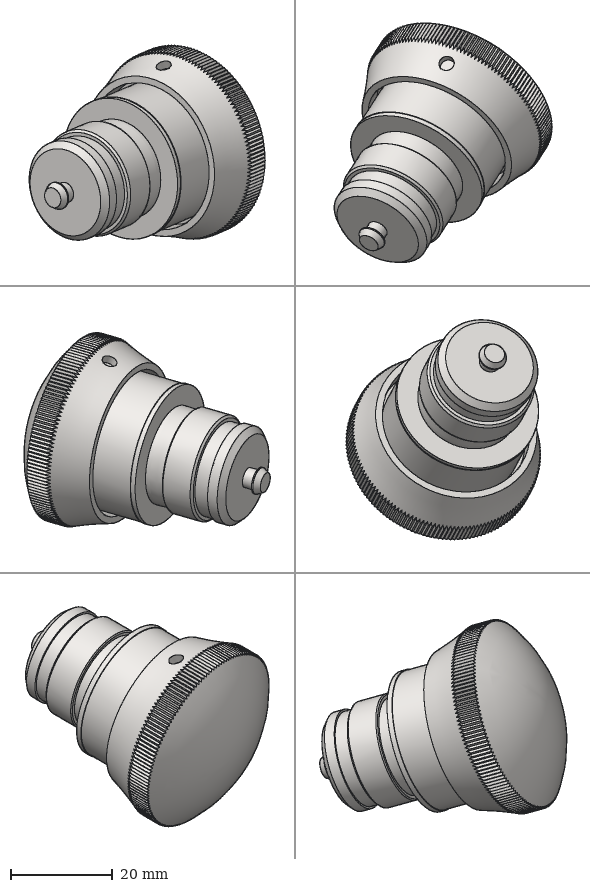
import cadquery as cq
import math


TOTAL_LENGTH = 50.05
PIN_LENGTH = 4.0
NOSE_CHAMFER_TOP = 5.25
NOSE_TOP = 7.4
COLLAR_BOTTOM = 10.45
COLLAR_TOP = 17.25
NECK_TAPER_TOP = 20.3
FLANGE_BOTTOM = 21.3
FLANGE_TOP = 22.4
HEAD_BOTTOM = 30.45
KNURL_BOTTOM = 38.8
KNURL_TOP = 42.85

PIN_DIAMETER = 4.1
PIN_FLANGE_DIAMETER = 5.5
NOSE_DIAMETER = 20.3
NOSE_END_DIAMETER = 17.8
GROOVE_DIAMETER = 19.45
COLLAR_DIAMETER = 21.8
NECK_TOP_DIAMETER = 20.3
NECK_BOTTOM_DIAMETER = 20.0
FLANGE_DIAMETER = 28.8
BODY_DIAMETER = 28.5
HEAD_RIM_DIAMETER = 32.75
HEAD_DIAMETER = 38.5
RECESS_DIAMETER = 30.0

PIN_FILLET = 0.45
PIN_BAND_BOTTOM = 1.3
PIN_BAND_TOP = 1.6
COLLAR_BOTTOM_CHAMFER = 0.45
COLLAR_TOP_CHAMFER = 0.25
FLARE_SAG = 0.15
RECESS_DEPTH = 4.0
TOOTH_COUNT = 150
TOOTH_DEPTH = 0.4
HOLE_DIAMETER = 3.0
HOLE_DEPTH = 2.0
HOLE_CENTER_Y = 34.8


def revolve_about_y(profile):
    """Turn a closed half profile (radius along X, station along Y) into a solid."""
    return profile.close().revolve(360, (0, 0, 0), (0, 1, 0))


def make_pin():
    """Pin with a filleted flange that tapers back to the pin diameter at its tip."""
    radius = PIN_DIAMETER / 2
    flange_radius = PIN_FLANGE_DIAMETER / 2
    fillet_offset = PIN_FILLET * (1 - math.sqrt(0.5))
    profile = (
        cq.Workplane("XY")
        .lineTo(radius, 0)
        .lineTo(flange_radius, PIN_BAND_BOTTOM)
        .lineTo(flange_radius, PIN_BAND_TOP)
        .lineTo(radius + PIN_FILLET, PIN_BAND_TOP)
        .threePointArc(
            (radius + fillet_offset, PIN_BAND_TOP + fillet_offset),
            (radius, PIN_BAND_TOP + PIN_FILLET),
        )
        .lineTo(radius, NOSE_CHAMFER_TOP)
        .lineTo(0, NOSE_CHAMFER_TOP)
    )
    return revolve_about_y(profile)


def make_body():
    """Stepped barrel from the chamfered nose up into the head."""
    collar_radius = COLLAR_DIAMETER / 2
    outline = [
        (0, PIN_LENGTH),
        (NOSE_END_DIAMETER / 2, PIN_LENGTH),
        (NOSE_DIAMETER / 2, NOSE_CHAMFER_TOP),
        (NOSE_DIAMETER / 2, NOSE_TOP),
        (GROOVE_DIAMETER / 2, NOSE_TOP),
        (GROOVE_DIAMETER / 2, COLLAR_BOTTOM),
        (collar_radius - COLLAR_BOTTOM_CHAMFER, COLLAR_BOTTOM),
        (collar_radius, COLLAR_BOTTOM + COLLAR_BOTTOM_CHAMFER),
        (collar_radius, COLLAR_TOP - COLLAR_TOP_CHAMFER),
        (collar_radius - COLLAR_TOP_CHAMFER, COLLAR_TOP),
        (NECK_BOTTOM_DIAMETER / 2, COLLAR_TOP),
        (NECK_TOP_DIAMETER / 2, NECK_TAPER_TOP),
        (NECK_TOP_DIAMETER / 2, FLANGE_BOTTOM),
        (FLANGE_DIAMETER / 2, FLANGE_BOTTOM),
        (FLANGE_DIAMETER / 2, FLANGE_TOP),
        (BODY_DIAMETER / 2, FLANGE_TOP),
        (BODY_DIAMETER / 2, KNURL_BOTTOM),
        (0, KNURL_BOTTOM),
    ]
    return revolve_about_y(cq.Workplane("XY").polyline(outline))


FLARE_RISE = KNURL_BOTTOM - HEAD_BOTTOM
FLARE_SPREAD = (HEAD_DIAMETER - HEAD_RIM_DIAMETER) / 2
FLARE_ANGLE = math.atan2(FLARE_SPREAD, FLARE_RISE)


def make_head_blank():
    """Domed head with a slightly hollow flare and an annular recess around the body."""
    rim_radius = HEAD_RIM_DIAMETER / 2
    head_radius = HEAD_DIAMETER / 2
    recess_top = HEAD_BOTTOM + RECESS_DEPTH
    flare_middle = (
        (rim_radius + head_radius) / 2 - FLARE_SAG * math.cos(FLARE_ANGLE),
        (HEAD_BOTTOM + KNURL_BOTTOM) / 2 + FLARE_SAG * math.sin(FLARE_ANGLE),
    )
    dome_height = TOTAL_LENGTH - KNURL_TOP
    dome_radius = (head_radius**2 + dome_height**2) / (2 * dome_height)
    dome_half_angle = math.asin(head_radius / dome_radius) / 2
    dome_middle = (
        dome_radius * math.sin(dome_half_angle),
        TOTAL_LENGTH - dome_radius * (1 - math.cos(dome_half_angle)),
    )
    profile = (
        cq.Workplane("XY")
        .moveTo(0, recess_top)
        .lineTo(RECESS_DIAMETER / 2, recess_top)
        .lineTo(RECESS_DIAMETER / 2, HEAD_BOTTOM)
        .lineTo(rim_radius, HEAD_BOTTOM)
        .threePointArc(flare_middle, (head_radius, KNURL_BOTTOM))
        .lineTo(head_radius, KNURL_TOP)
        .threePointArc(dome_middle, (0, TOTAL_LENGTH))
    )
    return revolve_about_y(profile)


def make_toothed_prism():
    """Prism along Y with a saw-tooth outline that limits the head to the knurled shape."""
    tip_radius = HEAD_DIAMETER / 2
    outline = []
    for step in range(2 * TOOTH_COUNT):
        angle = math.pi * step / TOOTH_COUNT
        radius = tip_radius if step % 2 == 0 else tip_radius - TOOTH_DEPTH
        outline.append((radius * math.cos(angle), radius * math.sin(angle)))
    return cq.Workplane("XZ").polyline(outline).close().extrude(-TOTAL_LENGTH)


def make_hole():
    """Blind hole in the +Z side of the head, square to the flare."""
    surface_z = HEAD_RIM_DIAMETER / 2 + (HOLE_CENTER_Y - HEAD_BOTTOM) * math.tan(FLARE_ANGLE)
    inward = cq.Vector(0, math.sin(FLARE_ANGLE), -math.cos(FLARE_ANGLE))
    surface_point = cq.Vector(0, HOLE_CENTER_Y, surface_z)
    start = surface_point - inward * HOLE_DEPTH
    return cq.Workplane(
        cq.Solid.makeCylinder(HOLE_DIAMETER / 2, 2 * HOLE_DEPTH, start, inward)
    )


head = make_head_blank().intersect(make_toothed_prism()).cut(make_hole())
result = head.union(make_body()).union(make_pin())